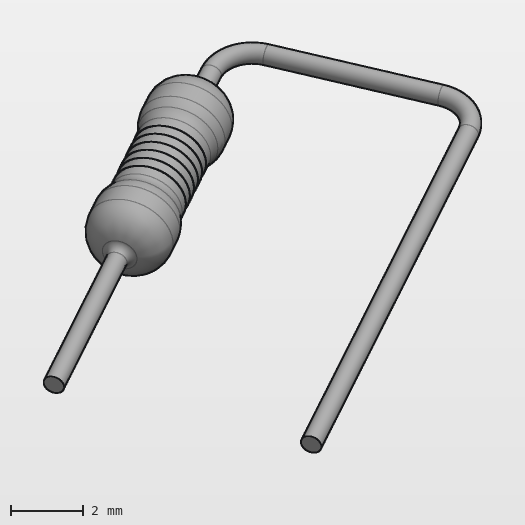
import cadquery as cq
import math


lead_radius = 0.3
lead_pitch = 7.5
bend_radius = 1.2
lead_tip_y = -9.0
overall_length = 14.9
crossbar_y = lead_tip_y + overall_length - lead_radius

cap_radius = 1.25
core_radius = 2.15 / 2
groove_radius = 2.12 / 2
groove_width = 0.345
groove_count = 3
core_half_length = (2 * groove_count + 1) * groove_width / 2
cap_inner_y = 1.92
cap_outer_y = 2.51
dome_radius = 0.91
lead_fillet_end_y = 3.65


def shoulder_points():
    """Middle of the core arc, joint, and middle of the cap arc of the S-shaped step."""
    mid_y = (core_half_length + cap_inner_y) / 2
    mid_radius = (core_radius + cap_radius) / 2
    run = mid_y - core_half_length
    rise = mid_radius - core_radius
    arc_radius = (run**2 + rise**2) / (2 * rise)
    half_angle = math.asin(run / arc_radius) / 2
    half_run = arc_radius * math.sin(half_angle)
    half_rise = arc_radius * (1 - math.cos(half_angle))
    core_arc_mid = (core_radius + half_rise, core_half_length + half_run)
    cap_arc_mid = (cap_radius - half_rise, cap_inner_y - half_run)
    return core_arc_mid, (mid_radius, mid_y), cap_arc_mid


def end_points():
    """Middle and outer end of the dome arc, and middle of the concave fillet from it to the lead."""
    dome_centre_radius = cap_radius - dome_radius
    rise = lead_fillet_end_y - cap_outer_y
    offset = dome_centre_radius - lead_radius
    fillet = (rise**2 + offset**2 - dome_radius**2) / (2 * (dome_radius + offset))
    fillet_centre_radius = lead_radius + fillet
    dome_sweep = math.atan2(rise, fillet_centre_radius - dome_centre_radius)

    def on_dome(angle):
        return (
            dome_centre_radius + dome_radius * math.cos(angle),
            cap_outer_y + dome_radius * math.sin(angle),
        )

    fillet_angle = math.pi + dome_sweep / 2
    fillet_mid = (
        fillet_centre_radius + fillet * math.cos(fillet_angle),
        lead_fillet_end_y + fillet * math.sin(fillet_angle),
    )
    return on_dome(dome_sweep / 2), on_dome(dome_sweep), fillet_mid


def half_body():
    """The +Y half of the body: core, shoulder, cap, dome and fillet, revolved about Y."""
    core_arc_mid, shoulder_mid, cap_arc_mid = shoulder_points()
    dome_mid, dome_end, fillet_mid = end_points()
    return (
        cq.Workplane("XY")
        .lineTo(core_radius, 0)
        .lineTo(core_radius, core_half_length)
        .threePointArc(core_arc_mid, shoulder_mid)
        .threePointArc(cap_arc_mid, (cap_radius, cap_inner_y))
        .lineTo(cap_radius, cap_outer_y)
        .threePointArc(dome_mid, dome_end)
        .threePointArc(fillet_mid, (lead_radius, lead_fillet_end_y))
        .lineTo(0, lead_fillet_end_y)
        .close()
        .revolve(360, (0, 0, 0), (0, 1, 0))
    )


def groove(centre_y):
    """The ring of material removed by one groove round the core."""
    return (
        cq.Workplane("XZ", origin=(0, centre_y + groove_width / 2, 0))
        .circle(core_radius)
        .circle(groove_radius)
        .extrude(groove_width)
    )


def lead():
    """One round wire through the body, across, and back down beside it."""
    bend_start_y = crossbar_y - bend_radius
    diagonal = bend_radius * (1 - math.sqrt(0.5))
    path = (
        cq.Workplane("XY")
        .moveTo(0, lead_tip_y)
        .lineTo(0, bend_start_y)
        .threePointArc((diagonal, crossbar_y - diagonal), (bend_radius, crossbar_y))
        .lineTo(lead_pitch - bend_radius, crossbar_y)
        .threePointArc((lead_pitch - diagonal, crossbar_y - diagonal), (lead_pitch, bend_start_y))
        .lineTo(lead_pitch, lead_tip_y)
    )
    return cq.Workplane("XZ", origin=(0, lead_tip_y, 0)).circle(lead_radius).sweep(path)


body = half_body()
body = body.union(body.mirror("XZ"))
for index in range(groove_count):
    groove_y = (index - (groove_count - 1) / 2) * 2 * groove_width
    body = body.cut(groove(groove_y))

result = body.union(lead())